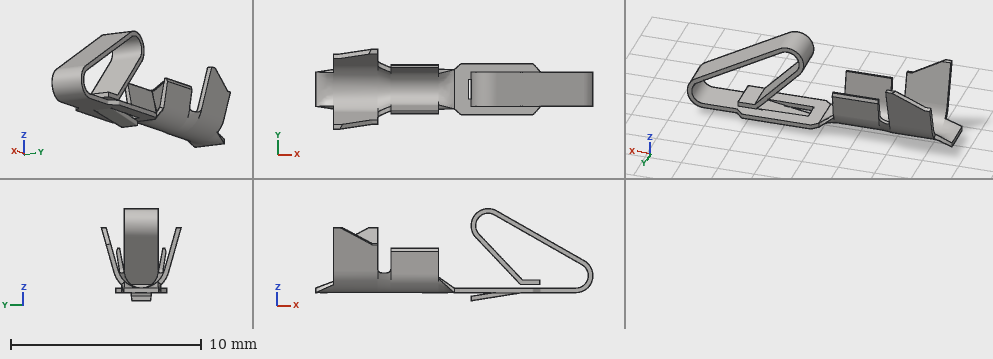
import cadquery as cq
import math

sheet = 0.25

barrel_start = 0.93
barrel_end = 3.27
wire_crimp_start = 3.95
wire_crimp_end = 6.46
plate_start = 7.28
plate_shoulder = 11.42
plate_end = 11.82
spring_foot_end = 11.77
overall_length = 14.56

barrel_radius = 1.5
barrel_lean = 15.75
barrel_top = 3.42
barrel_low_top = 2.51
barrel_peak_flat = 0.35
barrel_low_flat = 0.28
barrel_low_fillet = 0.12

wire_radius = 1.13
wire_lean = 9.0
wire_inner_lean = 11.0
wire_top = 2.34
wire_bevel_height = 0.18
wire_bevel_depth = 0.1

neck_top = 1.3
neck_valley = 1.05
neck_corner = 0.2

tail_half_width = 0.9
tail_flare_half_width = 1.04
front_flare_half_width = 1.06
plate_neck_half_width = 1.03

plate_half_width = 1.34
plate_flare = 0.34
plate_fillet = 0.12
strip_width = 1.8
window_start = 8.03
latch_hinge = 10.86
latch_tip = 8.16
latch_drop = 0.43
latch_root_half_width = 0.55
latch_tip_half_width = 0.5
latch_edge_fillet = 0.05
bend_radius = 0.9
spring_top = 4.42
spring_foot_start = 10.75
spring_foot_height = 0.43


def polar(center, radius, degrees):
    """Point at a radius and angle from a centre."""
    angle = math.radians(degrees)
    return (center[0] + radius * math.cos(angle), center[1] + radius * math.sin(angle))


def section_plane(x):
    """Cross-section plane at a station: local x is Y, local y is Z."""
    return cq.Plane(origin=(x, 0, 0), xDir=(0, 1, 0), normal=(1, 0, 0))


def wing_point(radius, surface_radius, lean, z):
    """Point at height z on the straight wing tangent to an arc centred at height radius."""
    tangent = polar((0, radius), surface_radius, -lean)
    return (tangent[0] + (z - tangent[1]) * math.tan(math.radians(lean)), z)


def mirrored(point):
    return (-point[0], point[1])


def draw_channel(work, radius, lean, inner_lean, top):
    """Draw a round-bottomed channel with two straight leaning wings and level tops."""
    inner_radius = radius - sheet
    outer_tangent = polar((0, radius), radius, -lean)
    inner_tangent = polar((0, radius), inner_radius, -inner_lean)
    outer_tip = wing_point(radius, radius, lean, top)
    inner_tip = wing_point(radius, inner_radius, inner_lean, top)
    return (
        work.moveTo(*mirrored(outer_tip))
        .lineTo(*mirrored(outer_tangent))
        .threePointArc((0, 0), outer_tangent)
        .lineTo(*outer_tip)
        .lineTo(*inner_tip)
        .lineTo(*inner_tangent)
        .threePointArc((0, sheet), mirrored(inner_tangent))
        .lineTo(*mirrored(inner_tip))
        .close()
    )


def barrel_wing_cutter(side):
    """Tool that slopes the top of one barrel wing, square to the sheet.

    The -Y wing peaks at the tail end of the barrel, the +Y wing at the other end.
    """
    lean = math.radians(barrel_lean)
    tip = wing_point(barrel_radius, barrel_radius, barrel_lean, barrel_top)
    length = barrel_end - barrel_start
    drop = (barrel_top - barrel_low_top) / math.cos(lean)
    low_corner = (length - barrel_low_flat, -drop)
    clearance = sheet
    normal = (0, side * math.cos(lean), -math.sin(lean))
    peak_x = barrel_start if side < 0 else barrel_end
    away_from_peak = 1 if side < 0 else -1
    plane = cq.Plane(origin=(peak_x, side * tip[0], tip[1]), xDir=(away_from_peak, 0, 0), normal=normal)
    return (
        cq.Workplane(plane)
        .moveTo(barrel_peak_flat, 0)
        .lineTo(*low_corner)
        .lineTo(length + clearance, -drop)
        .lineTo(length + clearance, clearance)
        .lineTo(barrel_peak_flat, clearance)
        .close()
        .extrude(2 * sheet, both=True)
        .edges(cq.selectors.NearestToPointSelector(plane.toWorldCoords(low_corner).toTuple()))
        .fillet(barrel_low_fillet)
    )


def make_barrel():
    barrel = draw_channel(
        cq.Workplane(section_plane(barrel_start)), barrel_radius, barrel_lean, barrel_lean, barrel_top
    ).extrude(barrel_end - barrel_start)
    for side in (-1, 1):
        barrel = barrel.cut(barrel_wing_cutter(side))
    return barrel


def make_wire_crimp():
    length = wire_crimp_end - wire_crimp_start
    crimp = draw_channel(
        cq.Workplane(section_plane(wire_crimp_start)), wire_radius, wire_lean, wire_inner_lean, wire_top
    ).extrude(length)
    bevel_base = wing_point(wire_radius, wire_radius, wire_lean, wire_top - wire_bevel_height)
    bevel_tip = wing_point(wire_radius, wire_radius, wire_lean, wire_top)
    for side in (-1, 1):
        bevel = (
            cq.Workplane(section_plane(wire_crimp_start))
            .moveTo(side * bevel_base[0], bevel_base[1])
            .lineTo(side * (bevel_tip[0] - wire_bevel_depth), wire_top)
            .lineTo(side * (bevel_tip[0] + sheet), wire_top)
            .close()
            .extrude(length)
        )
        crimp = crimp.cut(bevel)
    return crimp


def make_neck():
    """Tapered channel joining the crimps, notched to a rounded valley."""
    length = wire_crimp_start - barrel_end
    work = cq.Workplane(section_plane(barrel_end))
    work = draw_channel(work, barrel_radius, barrel_lean, barrel_lean, neck_top)
    work = draw_channel(work.workplane(offset=length), wire_radius, wire_lean, wire_inner_lean, neck_top)
    neck = work.loft(ruled=True)
    notch = (
        cq.Workplane("XZ")
        .moveTo((barrel_end + wire_crimp_start) / 2, neck_valley + barrel_radius / 2)
        .rect(length, barrel_radius)
        .extrude(2 * barrel_radius, both=True)
        .edges("|Y and <Z")
        .fillet(neck_corner)
    )
    return neck.cut(notch)


def make_flare(flat_x, flat_half_width, channel_x, radius, channel_half_width):
    """Loft from the flat strip to the bottom arc of a channel."""
    edge_angle = math.degrees(math.acos(channel_half_width / radius))
    outer_edge = polar((0, radius), radius, -edge_angle)
    inner_edge = polar((0, radius), radius - sheet, -edge_angle)
    flat = (
        cq.Workplane(section_plane(flat_x))
        .moveTo(-flat_half_width, 0)
        .lineTo(flat_half_width, 0)
        .lineTo(flat_half_width, sheet)
        .lineTo(-flat_half_width, sheet)
        .close()
    )
    return (
        flat.workplane(offset=channel_x - flat_x)
        .moveTo(*mirrored(outer_edge))
        .threePointArc((0, 0), outer_edge)
        .lineTo(*inner_edge)
        .threePointArc((0, sheet), mirrored(inner_edge))
        .close()
        .loft(ruled=True)
    )


def make_plate():
    """Flat plate with angled shoulders, a latch window and the strip leading to the spring."""
    strip_edge = strip_width / 2
    strip_end = overall_length - bend_radius
    plate = (
        cq.Workplane("XY")
        .moveTo(plate_start, plate_neck_half_width)
        .lineTo(plate_start + plate_flare, plate_half_width)
        .lineTo(plate_shoulder, plate_half_width)
        .lineTo(plate_end, strip_edge)
        .lineTo(strip_end, strip_edge)
        .lineTo(strip_end, 0)
        .lineTo(plate_start, 0)
        .close()
        .extrude(sheet)
    )
    shoulder_zone = cq.selectors.BoxSelector(
        (plate_start + plate_flare / 2, strip_edge / 2, 0),
        (plate_end + plate_flare / 2, 2 * plate_half_width, sheet),
    )
    plate = plate.edges("|Z").edges(shoulder_zone).fillet(plate_fillet)
    plate = plate.union(plate.mirror("XZ"))
    return plate.cut(latch_outline(window_start).extrude(sheet))


def latch_outline(tip_x):
    """Tapered plan outline of the latch, from its hinge to a given tip station."""
    return (
        cq.Workplane("XY")
        .moveTo(latch_hinge, -latch_root_half_width)
        .lineTo(latch_hinge, latch_root_half_width)
        .lineTo(tip_x, latch_tip_half_width)
        .lineTo(tip_x, -latch_tip_half_width)
        .close()
    )


def make_latch():
    """Latch tab slanting down from the plate to its tip."""
    side_profile = (
        cq.Workplane("XZ")
        .moveTo(latch_hinge, 0)
        .lineTo(latch_hinge, sheet)
        .lineTo(latch_tip, sheet - latch_drop)
        .lineTo(latch_tip, -latch_drop)
        .close()
        .extrude(plate_half_width, both=True)
    )
    plan = latch_outline(latch_tip).extrude(2 * latch_drop + sheet, both=True)
    latch = side_profile.intersect(plan)
    middle_x = (latch_hinge + latch_tip) / 2
    middle_y = (latch_root_half_width + latch_tip_half_width) / 2
    for side in (-1, 1):
        edge_point = (middle_x, side * middle_y, -latch_drop / 2)
        long_edge = latch.edges(cq.selectors.NearestToPointSelector(edge_point))
        latch = long_edge.fillet(latch_edge_fillet)
    return latch


def make_spring():
    """Strip folded up from the end of the plate and back over it into a sprung loop."""
    inner_radius = bend_radius - sheet
    front_center = (overall_length - bend_radius, bend_radius)
    rear_center = (latch_tip + bend_radius, spring_top - bend_radius)
    foot = (spring_foot_start, spring_foot_height)

    run_slope = math.degrees(
        math.atan2(rear_center[1] - front_center[1], front_center[0] - rear_center[0])
    )
    run_normal = 90 - run_slope

    foot_dx = foot[0] - rear_center[0]
    foot_dz = foot[1] - rear_center[1]
    foot_angle = math.degrees(math.atan2(foot_dz, foot_dx))
    descent = foot_angle + math.degrees(math.asin(bend_radius / math.hypot(foot_dx, foot_dz)))
    descent_normal = descent - 90
    front_middle = (run_normal - 90) / 2
    rear_middle = (run_normal + descent_normal + 360) / 2
    foot_inner = (foot[0] - sheet * math.tan(math.radians(descent / 2)), foot[1] + sheet)

    return (
        cq.Workplane("XZ")
        .moveTo(front_center[0], 0)
        .threePointArc(
            polar(front_center, bend_radius, front_middle),
            polar(front_center, bend_radius, run_normal),
        )
        .lineTo(*polar(rear_center, bend_radius, run_normal))
        .threePointArc(
            polar(rear_center, bend_radius, rear_middle),
            polar(rear_center, bend_radius, descent_normal),
        )
        .lineTo(*foot)
        .lineTo(spring_foot_end, foot[1])
        .lineTo(spring_foot_end, foot_inner[1])
        .lineTo(*foot_inner)
        .lineTo(*polar(rear_center, inner_radius, descent_normal))
        .threePointArc(
            polar(rear_center, inner_radius, rear_middle),
            polar(rear_center, inner_radius, run_normal),
        )
        .lineTo(*polar(front_center, inner_radius, run_normal))
        .threePointArc(polar(front_center, inner_radius, front_middle), (front_center[0], sheet))
        .close()
        .extrude(strip_width / 2, both=True)
    )


tail_tip = 0
tail = make_flare(tail_tip, tail_half_width, barrel_start, barrel_radius, tail_flare_half_width)
front_flare = make_flare(
    plate_start, plate_neck_half_width, wire_crimp_end, wire_radius, front_flare_half_width
)
result = tail
for piece in (
    make_barrel(),
    make_neck(),
    make_wire_crimp(),
    front_flare,
    make_plate(),
    make_latch(),
    make_spring(),
):
    result = result.union(piece)